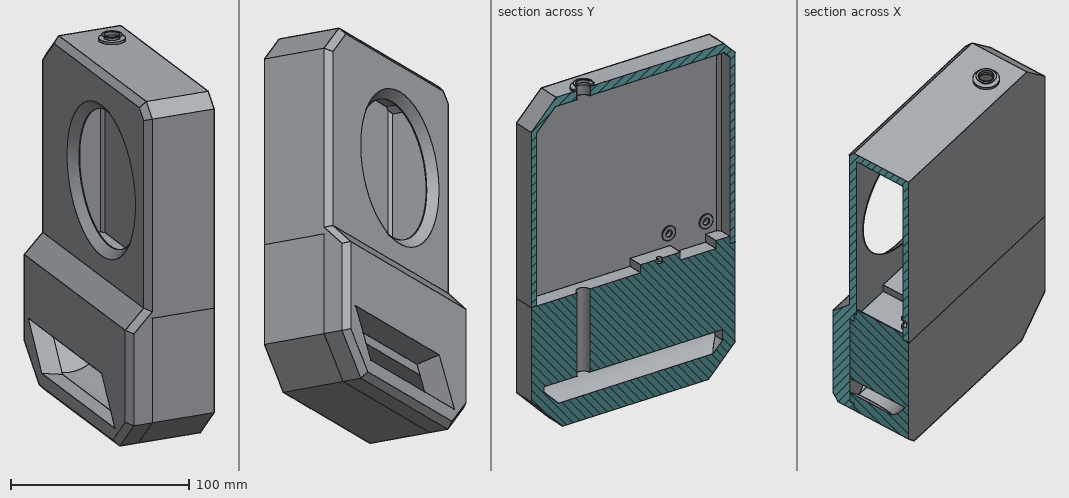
import cadquery as cq
import math


width = 140.37
depth = 53.45
total_height = 211.62
jack_height = 3.4
case_height = total_height - jack_height

corner_angle = math.radians(45)
top_left_cut = 17.1
top_right_cut = 7.9
bottom_left_cut = 21.8
bottom_right_cut = 18.4

step_depth = 11.45
step_bottom_z = 75.0
step_top_z = step_bottom_z + step_depth
front_chamfer = 3.65
face_tolerance = 1e-3

base_front_y = step_depth + front_chamfer
base_top_z = 81.0
plug_top_z = step_bottom_z

side_wall = 4.0
back_wall = 4.5
top_wall = 6.0
chamber_back_y = depth - back_wall
chamber_corner_chamfer = 2.0

window_x = 80.8
window_z = 143.9
window_diameter = 80.2
window_flare = 5.0
window_rim = 0.5
window_outer_diameter = window_diameter + 2 * window_flare
chamber_front_y = step_depth + window_flare + window_rim

tray_top_z = 38.6
tray_bottom_z = 11.6
tray_top_left_x = 9.2
tray_length = 96.4
tray_slant = 17.6
tray_depth = 12.2
tray_top_draft = 4.7
tray_bottom_draft = 2.1
tray_right_draft = 6.8

scoop_radius = 36.0
scoop_start_z = tray_bottom_z - tray_bottom_draft
scoop_start_angle = math.radians(10)
scoop_middle_angle = math.radians(-60)
scoop_top_z = 28.5
scoop_wall = 8.9

hole_block_left_x = 75.0
hole_block_right_x = 102.5
block_height = 5.0
hole_block_hole_diameter = 3.0
hole_block_hole_depth = 3.0
hole_block_hole_y = 40.1
corner_block_left_x = 126.8

washer_diameter = 9.0
washer_hole = 4.3
washer_thickness = 0.8
washer_xs = (101.2, 126.8)
washer_z = 94.2
screw_hole_depth = 2.5

jack_x = 36.0
jack_y = depth - 14.3
jack_body_diameter = 9.0
jack_lip_diameter = 11.5
jack_lip_thickness = 0.2
jack_bore_diameter = 8.5
ring_diameter = 15.0
ring_thickness = 1.4


def cut_corner_outline(inset=0.0):
    """Front outline with its four corners cut, moved inwards by `inset`."""
    inset_run = inset * math.tan(corner_angle / 2)
    left = inset
    right = width - inset
    bottom = inset
    top = case_height - inset
    return [
        (bottom_left_cut + inset_run, bottom),
        (width - bottom_right_cut - inset_run, bottom),
        (right, bottom_right_cut + inset_run),
        (right, case_height - top_right_cut - inset_run),
        (width - top_right_cut - inset_run, top),
        (top_left_cut + inset_run, top),
        (left, case_height - top_left_cut - inset_run),
        (left, bottom_left_cut + inset_run),
    ]


def front_prism(points, y_front, y_back):
    """Extrude an XZ outline from y_front to y_back."""
    return (
        cq.Workplane("XZ", origin=(0, y_front, 0))
        .polyline(points).close()
        .extrude(y_front - y_back)
    )


def box(x_range, y_range, z_range):
    """Axis-aligned box between the given limits."""
    lows, highs = zip(x_range, y_range, z_range)
    sizes = [high - low for low, high in zip(lows, highs)]
    return cq.Workplane("XY", origin=lows).box(*sizes, centered=False)


def y_cylinder(x, z, diameter, y_front, y_back):
    """Cylinder along Y between y_front and y_back."""
    return (
        cq.Workplane("XZ", origin=(x, y_front, z))
        .circle(diameter / 2)
        .extrude(y_front - y_back)
    )


def make_case_blank():
    """Cut-corner block with the stepped front, chamfered along the outer edges of the front faces."""
    side_profile = [
        (0, 0), (depth, 0), (depth, case_height),
        (step_depth, case_height), (step_depth, step_top_z), (0, step_bottom_z),
    ]
    stepped = cq.Workplane("YZ").polyline(side_profile).close().extrude(width)
    blank = stepped.intersect(front_prism(cut_corner_outline(), 0, depth))
    front_faces = [face for face in blank.faces().vals() if face.normalAt().y < -face_tolerance]
    seen = [edge for face in front_faces for edge in face.Edges()]
    rim = [edge for edge in seen if sum(edge.isSame(other) for other in seen) == 1]
    return blank.newObject(rim).chamfer(front_chamfer)


def make_tray_opening():
    """Slanted opening that narrows from the front face to the scoop."""
    slope = tray_slant / (tray_top_z - tray_bottom_z)

    def corners(top_z, bottom_z, right_shift):
        def left_x(z):
            return tray_top_left_x + slope * (tray_top_z - z)
        return [
            (left_x(top_z), -top_z),
            (left_x(top_z) + tray_length - right_shift, -top_z),
            (left_x(bottom_z) + tray_length - right_shift, -bottom_z),
            (left_x(bottom_z), -bottom_z),
        ]

    inner_top_z = tray_top_z - tray_top_draft
    inner_bottom_z = tray_bottom_z - tray_bottom_draft
    front_plane = cq.Plane(origin=(0, 0, 0), xDir=(1, 0, 0), normal=(0, 1, 0))
    return (
        cq.Workplane(front_plane)
        .polyline(corners(tray_top_z, tray_bottom_z, 0)).close()
        .workplane(offset=tray_depth)
        .polyline(corners(inner_top_z, inner_bottom_z, tray_right_draft)).close()
        .loft(ruled=True)
    )


def make_base_zone():
    """Space of the base: the back block and its plug, which reaches forward to the tray opening."""
    back_block = box((0, width), (base_front_y, depth), (0, base_top_z))
    plug_limits = box((0, width), (tray_depth, base_front_y), (0, plug_top_z))
    plug = front_prism(cut_corner_outline(side_wall), tray_depth, base_front_y).intersect(plug_limits)
    return back_block.union(plug)


def make_scoop():
    """Round-bottomed recess in the base behind the tray opening."""
    centre_y = tray_depth + scoop_radius * math.sin(scoop_start_angle)
    centre_z = scoop_start_z + scoop_radius * math.cos(scoop_start_angle)
    end_y = centre_y + math.sqrt(scoop_radius**2 - (centre_z - scoop_top_z) ** 2)
    middle = (
        centre_y + scoop_radius * math.cos(scoop_middle_angle),
        centre_z + scoop_radius * math.sin(scoop_middle_angle),
    )
    trough = (
        cq.Workplane("YZ")
        .moveTo(tray_depth, scoop_top_z)
        .lineTo(tray_depth, scoop_start_z)
        .threePointArc(middle, (end_y, scoop_top_z))
        .close()
        .extrude(width)
    )
    return trough.intersect(front_prism(cut_corner_outline(scoop_wall), 0, depth))


def make_chamber():
    """Space behind the window, open towards the base, with chamfered back corners."""
    outline = front_prism(cut_corner_outline(side_wall), chamber_front_y, chamber_back_y)
    limits = box((0, width), (0, depth), (base_top_z, case_height - top_wall))
    return outline.intersect(limits).faces(">Y").edges("|Z").chamfer(chamber_corner_chamfer)


def make_window():
    """Round window with a flared front and a short straight rim."""
    flare = cq.Workplane("XY").add(
        cq.Solid.makeCone(
            window_outer_diameter / 2, window_diameter / 2, window_flare,
            cq.Vector(window_x, step_depth, window_z), cq.Vector(0, 1, 0),
        )
    )
    bore = y_cylinder(window_x, window_z, window_diameter, step_depth, chamber_front_y)
    return flare.union(bore)


def jack_cylinder(diameter, z_low, z_high):
    """Upright cylinder on the jack axis."""
    return (
        cq.Workplane("XY", origin=(jack_x, jack_y, z_low))
        .circle(diameter / 2)
        .extrude(z_high - z_low)
    )


blank = make_case_blank()
scoop = make_scoop()
chamber = make_chamber()
base_zone = make_base_zone()

base = blank.intersect(base_zone).cut(scoop)
hole_block = box(
    (hole_block_left_x, hole_block_right_x),
    (chamber_front_y, chamber_back_y),
    (base_top_z, base_top_z + block_height),
)
corner_block = box(
    (corner_block_left_x, width),
    (chamber_front_y, chamber_back_y),
    (base_top_z, base_top_z + block_height),
).intersect(chamber)
hole_block_hole = (
    cq.Workplane("XY", origin=(
        (hole_block_left_x + hole_block_right_x) / 2,
        hole_block_hole_y,
        base_top_z + block_height,
    ))
    .circle(hole_block_hole_diameter / 2)
    .extrude(-hole_block_hole_depth)
)
drop_hole = jack_cylinder(jack_bore_diameter, scoop_top_z, base_top_z)
base = base.union(hole_block).union(corner_block).cut(hole_block_hole).cut(drop_hole)

housing = (
    blank.cut(base_zone)
    .cut(make_tray_opening())
    .cut(chamber)
    .cut(make_window())
    .cut(jack_cylinder(jack_body_diameter, case_height - top_wall, case_height))
)
for x in washer_xs:
    housing = housing.cut(
        y_cylinder(x, washer_z, washer_hole, chamber_back_y, chamber_back_y + screw_hole_depth)
    )


def make_washer(x):
    """Flat washer against the back wall of the chamber."""
    front_y = chamber_back_y - washer_thickness
    plate = y_cylinder(x, washer_z, washer_diameter, front_y, chamber_back_y)
    return plate.cut(y_cylinder(x, washer_z, washer_hole, front_y, chamber_back_y))


washers = [make_washer(x) for x in washer_xs]

jack = (
    jack_cylinder(jack_body_diameter, case_height - top_wall, total_height)
    .union(jack_cylinder(jack_lip_diameter, total_height - jack_lip_thickness, total_height))
    .cut(jack_cylinder(jack_bore_diameter, case_height - top_wall, total_height))
)

ring = jack_cylinder(ring_diameter, case_height, case_height + ring_thickness).cut(
    jack_cylinder(jack_body_diameter, case_height, case_height + ring_thickness)
)

result = cq.Compound.makeCompound([
    housing.val(),
    base.val(),
    *[washer.val() for washer in washers],
    jack.val(),
    ring.val(),
])